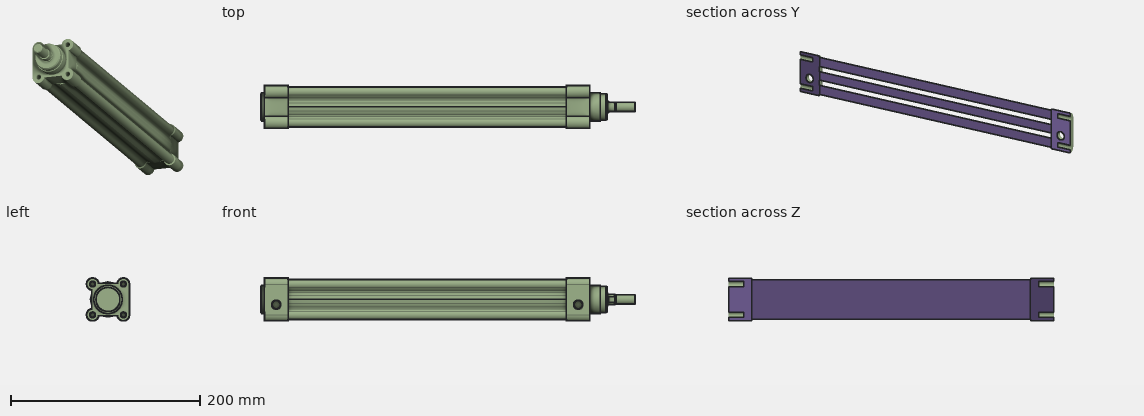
import cadquery as cq
import math


stroke = 250.0
body_length = 94.0 + stroke
cap_length = 25.0
tube_start = cap_length
tube_end = body_length - cap_length

screw_pitch = 32.5
screw_offset = screw_pitch / 2
lobe_radius = 6.5
cap_half_width = screw_offset + lobe_radius
cap_wall = 17.3
screw_hole_diameter = 5.0
screw_hole_chamfer = 0.5
screw_hole_depth = 16.0
port_diameter = 8.6
port_chamfer = 0.5
port_depth = 10.0
port_from_outer_face = 12.5
port_z = -5.5

spigot_radius = 15.0
rear_spigot_length = 4.0
rear_chamfer_length = 1.2
rear_chamfer_width = 2.3
front_spigot_length = 10.6
nose_radius = 14.2
nose_length = 18.0
nose_chamfer_length = 1.5
nose_chamfer_width = 1.0
wiper_radius = 6.7
wiper_length = 1.0

tube_lobe_radius = 5.0
barrel_radius = 18.1
ridge_height = 18.5
ridge_half_width = 4.2
valley_fillet = 2.0
edge_pick_margin = 0.1

rod_radius = 5.7
rod_shoulder = body_length + 26.0
flats_width = 10.0
flats_gap = 1.0
flats_start = body_length + nose_length + wiper_length + flats_gap
thread_radius = 5.0
thread_length = 22.0
thread_chamfer = 0.9
undercut_radius = 4.3
undercut_length = 1.0

screw_positions = [(y, z) for y in (-screw_offset, screw_offset) for z in (-screw_offset, screw_offset)]


def section_plane(x):
    """Plane across the cylinder axis: local x is Y, local y is Z, extrusion runs along +X."""
    return cq.Workplane("YZ", origin=(x, 0, 0))


def disc(x, radius, length):
    return section_plane(x).circle(radius).extrude(length)


def blind_hole(mouth, direction, diameter, depth, chamfer):
    """Cutter for a flat-bottomed hole with a 45 degree chamfer at its mouth."""
    radius = diameter / 2
    bore = cq.Solid.makeCylinder(radius, depth, mouth, direction)
    countersink = cq.Solid.makeCone(radius + chamfer, radius, chamfer, mouth, direction)
    return cq.Workplane(bore.fuse(countersink))


def make_cap(x_start, outer_face, inward):
    """Cap block with four screw lobes, flat on the -Y side, with a port and screw holes."""
    core = section_plane(x_start).rect(2 * cap_wall, 2 * cap_wall).extrude(cap_length)
    port_side = cq.Workplane("XY").box(
        cap_length, cap_half_width, screw_pitch, centered=(False, False, True)
    ).translate((x_start, -cap_half_width, 0))
    lobes = section_plane(x_start).pushPoints(screw_positions).circle(lobe_radius).extrude(cap_length)
    cap = core.union(port_side).union(lobes)

    for y, z in screw_positions:
        mouth = cq.Vector(outer_face, y, z)
        inward_axis = cq.Vector(inward, 0, 0)
        screw_hole = blind_hole(mouth, inward_axis, screw_hole_diameter, screw_hole_depth, screw_hole_chamfer)
        cap = cap.cut(screw_hole)
    port_mouth = cq.Vector(outer_face + inward * port_from_outer_face, -cap_half_width, port_z)
    return cap.cut(blind_hole(port_mouth, cq.Vector(0, 1, 0), port_diameter, port_depth, port_chamfer))


def make_rear_cap():
    spigot = disc(0, spigot_radius, -rear_spigot_length)
    spigot = spigot.faces("<X").edges().chamfer(rear_chamfer_length, rear_chamfer_width)
    return make_cap(0, 0, 1).union(spigot)


def make_front_cap():
    """Front cap with its stepped bearing nose, bored through for the rod."""
    nose = disc(body_length, nose_radius, nose_length)
    nose = nose.faces(">X").edges().chamfer(nose_chamfer_length, nose_chamfer_width)
    cap = (
        make_cap(tube_end, body_length, -1)
        .union(disc(body_length, spigot_radius, front_spigot_length))
        .union(nose)
        .union(disc(body_length + nose_length, wiper_radius, wiper_length))
    )
    bore_length = cap_length + nose_length + wiper_length
    return cap.cut(disc(tube_end, rod_radius, bore_length))


def barrel_height(offset):
    return math.sqrt(barrel_radius**2 - offset**2)


def make_tube_side():
    """Sector of the tube on its +Z side: a barrel arc with a low ridge, rising at 45 degrees to the lobes."""
    diagonal = math.sqrt(0.5)
    tangent_y = screw_offset - tube_lobe_radius * diagonal
    tangent_z = screw_offset + tube_lobe_radius * diagonal
    rise = tangent_z - tangent_y
    valley_y = (math.sqrt(2 * barrel_radius**2 - rise**2) - rise) / 2
    valley_z = valley_y + rise
    ridge_foot = barrel_height(ridge_half_width)
    arc_y = (valley_y + ridge_half_width) / 2
    arc_z = barrel_height(arc_y)
    side = (
        section_plane(tube_start)
        .moveTo(0, 0)
        .lineTo(-screw_offset, screw_offset)
        .lineTo(-tangent_y, tangent_z)
        .lineTo(-valley_y, valley_z)
        .threePointArc((-arc_y, arc_z), (-ridge_half_width, ridge_foot))
        .lineTo(0, ridge_height)
        .lineTo(ridge_half_width, ridge_foot)
        .threePointArc((arc_y, arc_z), (valley_y, valley_z))
        .lineTo(tangent_y, tangent_z)
        .lineTo(screw_offset, screw_offset)
        .close()
        .extrude(tube_end - tube_start)
    )
    valley_edges = cq.selectors.BoxSelector(
        (tube_start, -valley_y - edge_pick_margin, valley_z - edge_pick_margin),
        (tube_end, valley_y + edge_pick_margin, valley_z + edge_pick_margin),
    )
    return side.edges(valley_edges).fillet(valley_fillet)


def make_tube():
    lobes = section_plane(tube_start).pushPoints(screw_positions).circle(tube_lobe_radius)
    tube = lobes.extrude(tube_end - tube_start)
    side = make_tube_side()
    for quarter in range(4):
        tube = tube.union(side.rotate((0, 0, 0), (1, 0, 0), 90 * quarter))
    return tube


def make_rod():
    """Rod with two spanner flats on its +Y and -Y sides, then an undercut and an unthreaded M10 end."""
    shank = disc(tube_end, rod_radius, rod_shoulder - tube_end)
    flats_length = rod_shoulder - flats_start
    flats_envelope = cq.Workplane("XY").box(flats_length, flats_width, 2 * rod_radius)
    flats_zone = disc(flats_start, rod_radius, flats_length)
    removed = flats_zone.cut(flats_envelope.translate((flats_start + flats_length / 2, 0, 0)))
    thread = disc(rod_shoulder + undercut_length, thread_radius, thread_length - undercut_length)
    thread = thread.edges().chamfer(thread_chamfer)
    undercut = disc(rod_shoulder, undercut_radius, undercut_length)
    return shank.cut(removed).union(undercut).union(thread)


rear_cap = make_rear_cap()
tube = make_tube()
front_cap = make_front_cap()
rod = make_rod()

result = cq.Compound.makeCompound([rear_cap.val(), tube.val(), front_cap.val(), rod.val()])